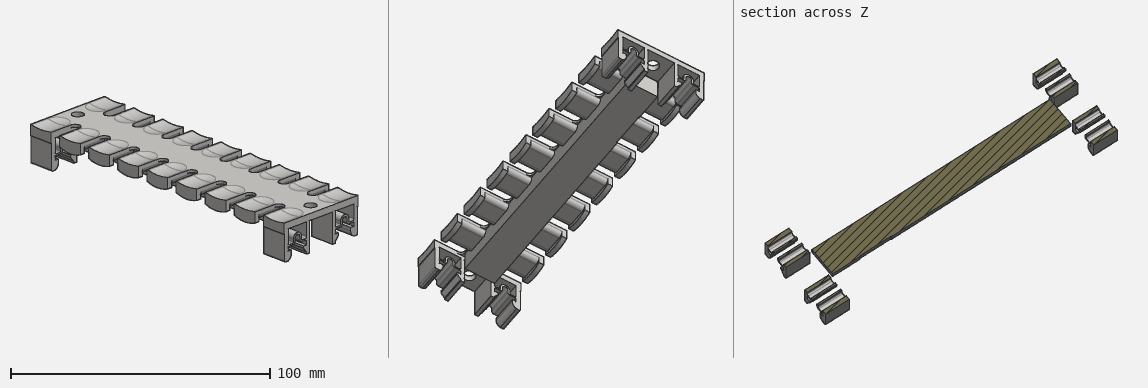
import cadquery as cq
import math

length = 139.5
width = 40.0
height = 16.5
half_width = width / 2

finger_count = 9
finger_width = 11.5
finger_pitch = (length - finger_width) / (finger_count - 1)
bridge_thickness = 2.9
finger_thickness = 3.9
finger_rounding = 2.1
lip_edge_depth = 4.7
lip_middle_depth = 5.9
lip_thickness = 2.2

plate_thickness = 1.3
slot_radius = (finger_pitch - finger_width) / 2
slot_end_y = 7.0

trough_width = 10.0
trough_depth = 0.5
trough_end_y = 11.2
trough_radius = ((trough_width / 2) ** 2 + trough_depth**2) / (2 * trough_depth)

rib_length = 113.8
rib_width = 13.7
rib_depth = 10.0
panel_start_x = -43.8
panel_length = 15.0
panel_height = 3.8
panel_depth = 0.3

channel_outer_y = 17.7
channel_inner_y = 7.8
channel_middle_y = (channel_outer_y + channel_inner_y) / 2
inner_leg_y = 6.1

leg_setback = 0.21
foot_fillet = 0.7
outer_hook_top = 12.3
outer_hook_reach = 1.7
outer_hook_round_start = 13.7
outer_foot_width = 1.8
outer_hook_bulge = 0.4

inner_hook_top = 12.5
inner_hook_reach = 1.7
inner_hook_face = 1.0
inner_foot_width = 1.7
inner_foot_height = 0.8

web_top = 9.8
web_thickness = 0.7
loop_top = 5.9
loop_radius = 2.2
loop_inner_radius = 1.3
loop_top_fillet = 0.4
loop_bottom_fillet = loop_top_fillet + web_thickness
web_corner_fillet = 0.7

mounting_hole_diameter = 5.0

finger_positions = [(i - (finger_count - 1) / 2) * finger_pitch for i in range(finger_count)]
end_positions = (finger_positions[0], finger_positions[-1])


def finger(center_x):
    """Finger on the +Y side with rounded lower edges along its length."""
    finger_length = half_width - inner_leg_y
    return (
        cq.Workplane("XY", origin=(center_x, inner_leg_y + finger_length / 2, -finger_thickness / 2))
        .box(finger_width, finger_length, finger_thickness)
        .edges("|Y and <Z")
        .fillet(finger_rounding)
    )


def lip(center_x):
    """Edge hanging down at the tip of a finger, with an arched lower side."""
    half = finger_width / 2
    return (
        cq.Workplane("XZ", origin=(center_x, half_width, 0))
        .moveTo(-half, -plate_thickness)
        .lineTo(-half, -lip_edge_depth)
        .threePointArc((0, -lip_middle_depth), (half, -lip_edge_depth))
        .lineTo(half, -plate_thickness)
        .close()
        .extrude(lip_thickness)
    )


def trough(center_x):
    """Cutter for a finger's trough: a lying cylinder that ends in a ball."""
    center_z = trough_radius - trough_depth
    cylinder = (
        cq.Workplane("XZ", origin=(center_x, half_width, center_z))
        .circle(trough_radius)
        .extrude(half_width - trough_end_y)
    )
    ball = cq.Workplane("XY").sphere(trough_radius).translate((center_x, trough_end_y, center_z))
    inner_side = (
        cq.Workplane("XY", origin=(center_x, trough_end_y - trough_width / 2, 0))
        .box(trough_width, trough_width, 2 * trough_depth)
    )
    return cylinder.union(ball.intersect(inner_side))


def slot(center_x):
    """Cutter for the round-ended slot between two fingers, open at the +Y edge."""
    return (
        cq.Workplane("XY", origin=(center_x, 0, -plate_thickness))
        .moveTo(slot_radius, half_width)
        .lineTo(slot_radius, slot_end_y + slot_radius)
        .threePointArc((0, slot_end_y), (-slot_radius, slot_end_y + slot_radius))
        .lineTo(-slot_radius, half_width)
        .close()
        .extrude(plate_thickness)
    )


def outer_leg_outline(plane):
    leg_y = half_width - leg_setback
    hook_y = channel_outer_y - outer_hook_reach
    foot_y = leg_y - outer_foot_width
    bulge_point = (
        (hook_y + foot_y) / 2 - outer_hook_bulge,
        -(outer_hook_round_start + height) / 2 - outer_hook_bulge,
    )
    return (
        plane.moveTo(channel_outer_y, 0)
        .lineTo(half_width, 0)
        .lineTo(half_width, -lip_edge_depth)
        .lineTo(leg_y, -lip_edge_depth)
        .lineTo(leg_y, -height + foot_fillet)
        .radiusArc((leg_y - foot_fillet, -height), foot_fillet)
        .lineTo(foot_y, -height)
        .threePointArc(bulge_point, (hook_y, -outer_hook_round_start))
        .lineTo(hook_y, -outer_hook_top)
        .lineTo(channel_outer_y, -outer_hook_top)
        .close()
    )


def inner_leg_outline(plane):
    hook_y = channel_inner_y + inner_hook_reach
    return (
        plane.moveTo(inner_leg_y, 0)
        .lineTo(channel_inner_y, 0)
        .lineTo(channel_inner_y, -inner_hook_top)
        .lineTo(hook_y, -inner_hook_top)
        .lineTo(hook_y, -inner_hook_top - inner_hook_face)
        .lineTo(inner_leg_y + inner_foot_width, -height + inner_foot_height)
        .lineTo(inner_leg_y + inner_foot_width, -height)
        .lineTo(inner_leg_y, -height)
        .close()
    )


def web_outline(plane):
    """Closed outline of the web: its underside from left to right, then its top side back."""
    bottom = -web_top - web_thickness
    loop_center_z = -loop_top - loop_radius
    inner_loop_top = (channel_middle_y, loop_center_z + loop_inner_radius)
    left = channel_middle_y - loop_radius
    right = channel_middle_y + loop_radius
    inner_left = channel_middle_y - loop_inner_radius
    inner_right = channel_middle_y + loop_inner_radius
    return (
        plane.moveTo(channel_inner_y, bottom)
        .lineTo(inner_left, bottom)
        .lineTo(inner_left, loop_center_z)
        .threePointArc(inner_loop_top, (inner_right, loop_center_z))
        .lineTo(inner_right, bottom)
        .lineTo(channel_outer_y, bottom)
        .lineTo(channel_outer_y, -web_top)
        .lineTo(right, -web_top)
        .lineTo(right, loop_center_z)
        .threePointArc((channel_middle_y, -loop_top), (left, loop_center_z))
        .lineTo(left, -web_top)
        .lineTo(channel_inner_y, -web_top)
        .close()
    )


def corner_fillet(plane, corner_y, corner_z, side_y, side_z):
    """Rounded filling of a corner between web and leg; the sides (1 or -1) say where it lies."""
    arc_offset = web_corner_fillet * (1 - math.sqrt(0.5))
    return (
        plane.moveTo(corner_y, corner_z)
        .lineTo(corner_y + side_y * web_corner_fillet, corner_z)
        .threePointArc(
            (corner_y + side_y * arc_offset, corner_z + side_z * arc_offset),
            (corner_y, corner_z + side_z * web_corner_fillet),
        )
        .close()
        .extrude(finger_width)
    )


def web(plane):
    """Spring web with the feet of its loop rounded on both faces."""
    body = web_outline(plane).extrude(finger_width)
    center_x = plane.plane.origin.x + finger_width / 2
    bottom = -web_top - web_thickness
    for side in (-1, 1):
        top_edge = (center_x, channel_middle_y + side * loop_radius, -web_top)
        bottom_edge = (center_x, channel_middle_y + side * loop_inner_radius, bottom)
        body = body.edges(cq.selectors.NearestToPointSelector(top_edge)).fillet(loop_top_fillet)
        body = body.edges(cq.selectors.NearestToPointSelector(bottom_edge)).fillet(loop_bottom_fillet)
    return body


def clip(center_x):
    """Outer leg, inner leg and spring web below an end finger."""
    plane = cq.Workplane("YZ", origin=(center_x - finger_width / 2, 0, 0))
    web_bottom = -web_top - web_thickness
    return (
        outer_leg_outline(plane).extrude(finger_width)
        .union(inner_leg_outline(plane).extrude(finger_width))
        .union(web(plane))
        .union(corner_fillet(plane, channel_outer_y, -web_top, -1, 1))
        .union(corner_fillet(plane, channel_inner_y, -web_top, 1, 1))
        .union(corner_fillet(plane, channel_inner_y, web_bottom, 1, -1))
    )


def both_sides(shape):
    """The shape on the +Y side together with its mirror image on the -Y side."""
    return shape.union(shape.mirror("XZ"))


def rib():
    body = cq.Workplane("XY").box(rib_length, rib_width, rib_depth, centered=(True, True, False))
    panel = (
        cq.Workplane("XY", origin=(panel_start_x, -rib_width / 2, 0))
        .box(panel_length, panel_depth, panel_height, centered=False)
    )
    return body.cut(panel).translate((0, 0, -rib_depth))


def end_bridge(center_x):
    """Thick part of the top above the clips."""
    return (
        cq.Workplane("XY", origin=(center_x, 0, -bridge_thickness / 2))
        .box(finger_width, width, bridge_thickness)
    )


result = cq.Workplane("XY", origin=(0, 0, -plate_thickness / 2)).box(length, width, plate_thickness)
for x in finger_positions[:-1]:
    result = result.cut(both_sides(slot(x + finger_pitch / 2)))
result = result.union(rib())
for x in end_positions:
    result = result.union(end_bridge(x)).union(both_sides(clip(x)))

for x in finger_positions[1:-1]:
    result = result.union(both_sides(finger(x).union(lip(x))))
for x in finger_positions:
    result = result.cut(both_sides(trough(x)))

result = result.cut(
    cq.Workplane("XY", origin=(0, 0, -height))
    .pushPoints([(x, 0) for x in end_positions])
    .circle(mounting_hole_diameter / 2)
    .extrude(height)
)